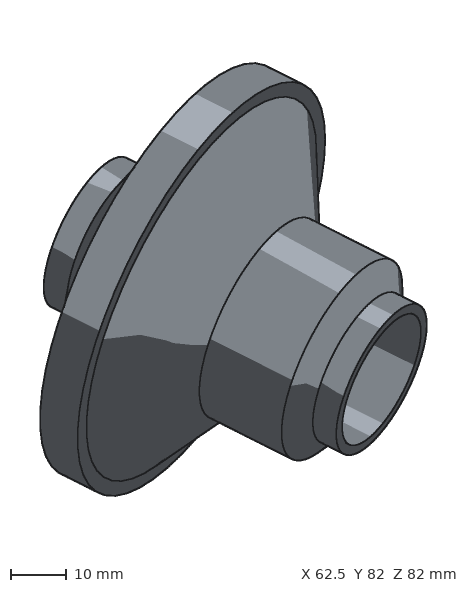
import cadquery as cq

rim_radius = 41.0
cone_base_radius = 38.05
hub_radius = 20.0
collar_radius = 15.0
bore_radius = 13.0

collar_length = 5.0
front_cone_length = 11.0
rim_width = 8.0
rear_cone_length = 12.5
hub_length = 17.55
hub_taper_length = 3.45

front_cone_start = collar_length
rim_start = front_cone_start + front_cone_length
rim_end = rim_start + rim_width
hub_start = rim_end + rear_cone_length
hub_end = hub_start + hub_length
rear_collar_start = hub_end + hub_taper_length
total_length = rear_collar_start + collar_length

half_section = (
    cq.Workplane("XY")
    .moveTo(0, bore_radius)
    .lineTo(0, collar_radius)
    .lineTo(front_cone_start, collar_radius)
    .lineTo(rim_start, cone_base_radius)
    .lineTo(rim_start, rim_radius)
    .lineTo(rim_end, rim_radius)
    .lineTo(rim_end, cone_base_radius)
    .lineTo(hub_start, hub_radius)
    .lineTo(hub_end, hub_radius)
    .lineTo(rear_collar_start, collar_radius)
    .lineTo(total_length, collar_radius)
    .lineTo(total_length, bore_radius)
    .close()
)

result = half_section.revolve(360, (0, 0, 0), (1, 0, 0))